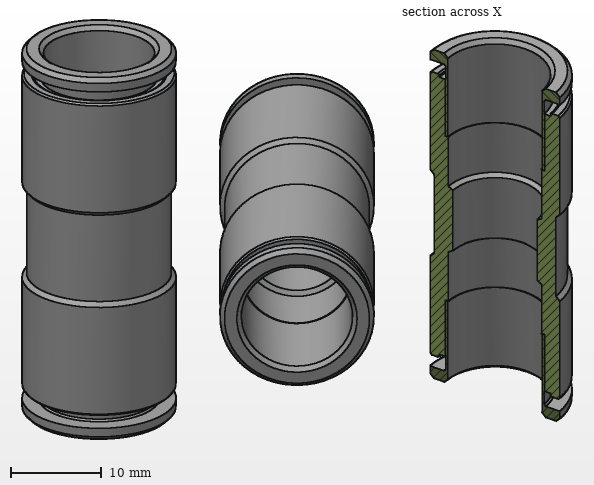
import cadquery as cq

length = 43.5
outer_diameter = 17.0
waist_diameter = 16.0

collet_neck_diameter = 12.9
collet_bore_diameter = 12.25
flange_thickness = 1.52
flange_bevel = (outer_diameter - waist_diameter) / 2
mouth_bevel = flange_bevel
neck_root_bevel = 0.2
collet_depth = 10.88

housing_inset = 3.0
rim_chamfer = 0.2
sleeve_end = 16.05
sleeve_bevel = flange_bevel
tube_seat_diameter = 12.15
tube_seat_depth = 17.4
stop_diameter = 11.0
stop_taper_depth = 0.35
mouth_diameter = 14.95
recess_diameter = 14.5
recess_depth = 0.4
recess_bevel_depth = 0.15


def revolve_profile(points):
    """Revolve a closed (radius, height) outline around the Z axis."""
    return cq.Workplane("XZ").polyline(points).close().revolve(360, (0, 0), (0, 1))


def make_housing():
    """Tube with two thick sleeves, a thinner waist and a tapered stop in the bore."""
    outer_radius = outer_diameter / 2
    waist_radius = waist_diameter / 2
    mouth_radius = mouth_diameter / 2
    recess_radius = recess_diameter / 2
    socket_radius = collet_neck_diameter / 2
    seat_radius = tube_seat_diameter / 2
    stop_radius = stop_diameter / 2
    top = length / 2 - housing_inset
    sleeve_bottom = length / 2 - sleeve_end
    socket_floor = length / 2 - collet_depth
    stop_top = length / 2 - tube_seat_depth
    upper_half = [
        (waist_radius, sleeve_bottom - sleeve_bevel),
        (outer_radius, sleeve_bottom),
        (outer_radius, top - rim_chamfer),
        (outer_radius - rim_chamfer, top),
        (mouth_radius, top),
        (recess_radius, top - recess_bevel_depth),
        (recess_radius, top - recess_depth),
        (socket_radius, top - recess_depth),
        (socket_radius, socket_floor),
        (seat_radius, socket_floor),
        (seat_radius, stop_top),
        (stop_radius, stop_top - stop_taper_depth),
    ]
    lower_half = [(radius, -height) for radius, height in reversed(upper_half)]
    return revolve_profile(upper_half + lower_half)


def make_collet(side):
    """Flanged release sleeve; side is +1 for the upper end and -1 for the lower end."""
    outer_radius = outer_diameter / 2
    neck_radius = collet_neck_diameter / 2
    bore_radius = collet_bore_diameter / 2
    top = length / 2
    flange_bottom = top - flange_thickness
    inner_end = top - collet_depth
    outline = [
        (bore_radius, inner_end),
        (neck_radius, inner_end),
        (neck_radius, flange_bottom - neck_root_bevel),
        (neck_radius + neck_root_bevel, flange_bottom),
        (outer_radius, flange_bottom),
        (outer_radius, top - flange_bevel),
        (outer_radius - flange_bevel, top),
        (bore_radius + mouth_bevel, top),
        (bore_radius, top - mouth_bevel),
    ]
    return revolve_profile([(radius, side * height) for radius, height in outline])


housing = make_housing()
collets = [make_collet(side) for side in (1, -1)]

result = cq.Compound.makeCompound([housing.val(), *[collet.val() for collet in collets]])